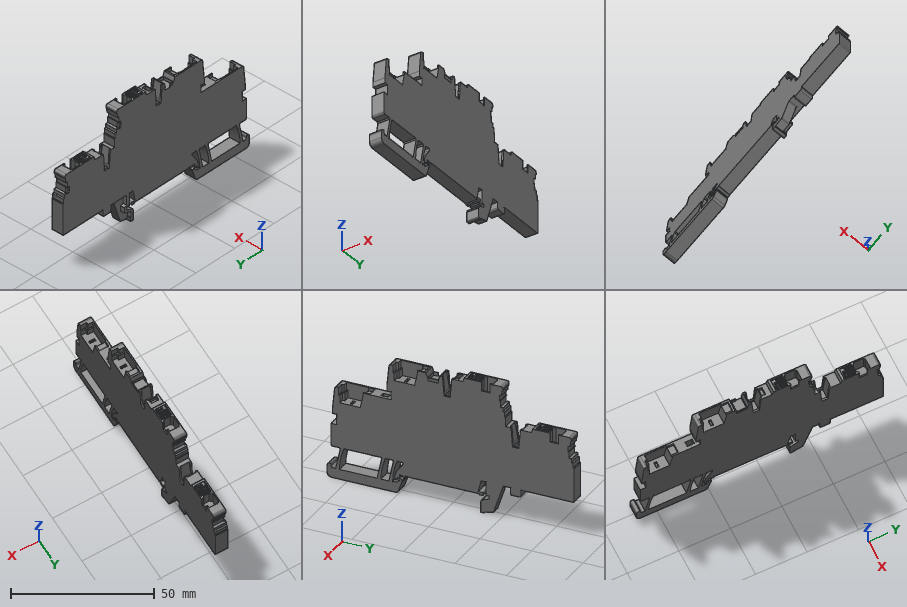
import cadquery as cq
import math


width = 5.1
length = 95.93
height = 52.0
x_min = -width / 2
x_max = width / 2
cut_over = 1.0

tier_rise = 13.9
tower_shift = 26.6
shelf_shift = 21.1

body_bottom = 12.5
rail_seat = 7.2
shelf_top = 36.4
tower_top = 37.9
bump_top = height - tier_rise
tower_end = 79.9
slot_bottom = 28.9
notch_floor = 48.5
body_end = 1.5

wall = 0.55
foot_top = 3.9


def rounded_outline(points):
    """Closed YZ wire through (y, z) or (y, z, corner radius) points."""
    corners = []
    count = len(points)
    for i, point in enumerate(points):
        here = cq.Vector(point[0], point[1])
        if len(point) == 2:
            corners.append((here, None, here))
            continue
        before = cq.Vector(*points[i - 1][:2])
        after = cq.Vector(*points[(i + 1) % count][:2])
        to_before = (before - here).normalized()
        to_after = (after - here).normalized()
        half_angle = to_before.getAngle(to_after) / 2
        setback = point[2] / math.tan(half_angle)
        bisector = (to_before + to_after).normalized()
        middle = here + bisector * (point[2] / math.sin(half_angle) - point[2])
        corners.append((here + to_before * setback, middle, here + to_after * setback))
    path = cq.Workplane("YZ").moveTo(*corners[0][2].toTuple()[:2])
    for start, middle, end in corners[1:] + corners[:1]:
        path = path.lineTo(*start.toTuple()[:2])
        if middle is not None:
            path = path.threePointArc(middle.toTuple()[:2], end.toTuple()[:2])
    return path.wire()


def plate(points, x_from=x_min, x_to=x_max):
    """Extrude a YZ outline between two X positions."""
    return rounded_outline(points).extrude(x_to - x_from).translate((x_from, 0, 0))


def box(x_from, x_to, y_from, y_to, z_from, z_to):
    size = (x_to - x_from, y_to - y_from, z_to - z_from)
    return cq.Workplane("XY").box(*size, centered=False).translate((x_from, y_from, z_from))


def shifted(points, dy, dz):
    return [(p[0] + dy, p[1] + dz) + tuple(p[2:]) for p in points]


TOWER = [
    (length, 26.0),
    (95.6, 26.2),
    (95.6, 28.0),
    (95.0, 28.2),
    (94.95, 29.6),
    (93.95, 29.8),
    (93.9, 32.1),
    (93.6, 32.1),
    (93.6, 34.2),
    (94.35, 34.4),
    (94.55, 36.2),
    (94.85, 36.4),
    (94.85, tower_top, 0.85),
    (tower_end, tower_top),
    (79.3, shelf_top),
    (75.0, shelf_top, 0.35),
    (74.4, slot_bottom, 0.3),
    (72.0, slot_bottom, 0.3),
    (71.45, shelf_top, 0.35),
]

NOSE = [
    (3.0, shelf_top, 0.95),
    (2.1, 27.6),
    (2.1, 25.5),
    (3.7, 25.5),
]

UNDERSIDE = [
    (body_end, 21.4),
    (body_end, body_bottom, 0.7),
    (29.9, body_bottom, 0.4),
    (26.9, 8.4),
    (26.4, 7.0),
    (26.4, 5.0),
    (27.0, 5.0),
    (27.3, 5.9),
    (28.1, 5.9),
    (28.1, rail_seat),
    (29.2, rail_seat),
    (29.2, 6.8),
    (30.3, 6.8),
    (30.3, rail_seat),
    (58.9, rail_seat),
    (59.2, 6.8),
    (60.7, 6.8, 0.5),
    (60.7, 8.0, 0.4),
    (58.7, 8.0),
    (59.8, body_bottom, 0.5),
    (71.2, body_bottom),
    (71.2, 9.6, 0.6),
    (75.3, 9.6, 0.6),
    (75.3, body_bottom),
    (length, body_bottom, 0.4),
]


def make_housing():
    upper_tower = shifted(TOWER, -tower_shift, tier_rise)
    upper_shelf = shelf_top + tier_rise
    marker_notch = [
        (43.75, upper_shelf),
        (43.15, notch_floor),
        (39.0, notch_floor),
        (38.3, upper_shelf),
    ]
    upper_nose = shifted(NOSE, shelf_shift, tier_rise)
    tower_foot = [(length - tower_shift, shelf_top)]
    shelf_root = [(upper_nose[-1][0], shelf_top)]
    lower_step = [(NOSE[-1][0], UNDERSIDE[0][1])]
    outline = TOWER + tower_foot + upper_tower + marker_notch + upper_nose
    outline += shelf_root + NOSE + lower_step + UNDERSIDE
    return plate(outline)


def make_clip():
    """Snap clip: a full-width spring rim backed by a web set in from the -X face."""
    web_inset = 1.7
    rim_joint = [
        (61.2, 0.4),
        (61.2, 1.6),
        (60.85, 1.6),
        (60.85, 4.2, 0.3),
        (64.3, 5.4),
        (64.3, 7.7),
        (63.1, 8.2),
        (63.1, body_bottom, 0.9),
        (64.5, body_bottom),
    ]
    rim_face = [
        (64.5, body_bottom + cut_over),
        (61.7, body_bottom + cut_over),
        (61.7, 7.2),
        (62.85, 7.1),
        (62.85, 6.0),
        (59.9, 4.9, 0.3),
        (59.6, 4.0),
        (59.6, 0.0, 0.4),
        (61.0, 0.0),
    ]
    web_back = [
        (69.4, body_bottom),
        (68.45, body_bottom, 0.3),
        (64.6, 1.1, 0.3),
    ]
    rim = plate(rim_joint + rim_face)
    web = plate(rim_joint + web_back, x_from=x_min + web_inset)
    return rim.union(web)


def make_foot():
    hooks = [
        (0.0, 0.0, 1.8),
        (0.0, 5.5, 1.1),
        (1.65, 5.5, 0.4),
        (1.65, foot_top, 0.65),
        (25.5, foot_top),
        (25.5, 4.4),
        (26.4, 4.15),
        (27.1, 4.15),
        (27.9, 4.9),
        (27.9, 6.2),
        (28.2, 6.1),
        (29.15, 5.4),
        (29.15, 4.8),
        (27.4, 0.0, 1.0),
    ]
    return plate(hooks)


def make_rib(shift):
    """Curved spring rib from the housing to the foot, tapering downwards."""
    embed = 0.2
    root = body_bottom + embed
    overlap = foot_top - embed
    neck = 12.0
    path = cq.Workplane("YZ").moveTo(6.9 + shift, root)
    path = path.lineTo(6.35 + shift, neck)
    path = path.threePointArc((5.15 + shift, 7.5), (4.8 + shift, overlap))
    path = path.lineTo(3.3 + shift, overlap)
    path = path.lineTo(5.1 + shift, neck)
    path = path.lineTo(4.6 + shift, root)
    return path.close().extrude(width).translate((x_min, 0, 0))


def lever_pocket(dy, dz):
    """Lever well with a blunted front end; its front part is open towards +X."""
    depth = 6.0
    half = 2.05
    well_back = 90.9
    well_front = 85.7
    back_bevel_x = 0.6
    back_bevel_y = 0.5
    front_half = 1.1
    shoulder = well_front + 0.9
    well = (
        cq.Workplane("XY")
        .moveTo(-half, well_back - back_bevel_y)
        .lineTo(-half + back_bevel_x, well_back)
        .lineTo(half, well_back)
        .lineTo(half, shoulder)
        .lineTo(front_half, well_front)
        .lineTo(-front_half, well_front)
        .lineTo(-half, shoulder)
        .close()
        .extrude(depth + cut_over)
        .translate((0, 0, tower_top - depth))
    )
    window_depth = 3.5
    window_back = 89.8
    window = box(
        half, x_max + cut_over, shoulder, window_back,
        tower_top - window_depth, tower_top + cut_over,
    )
    return well.union(window).translate((0, dy, dz))


MARKER_FRONT = 80.9
MARKER_BACK = 85.5
MARKER_HALF = 2.0
MARKER_FLOOR = tower_top - 0.8


def marker_recess(dy, dz):
    recess = box(
        -MARKER_HALF, MARKER_HALF, MARKER_FRONT, MARKER_BACK,
        MARKER_FLOOR, tower_top + cut_over,
    )
    return recess.translate((0, dy, dz))


def marker_insert(dy, dz):
    """Raised plate with three small windows, and lower cross bars behind it."""
    plate_front = MARKER_FRONT
    plate_back = 82.6
    plate_half = 1.7
    window = 0.5
    window_centers = (-0.3, 0.5, 1.1)
    bar_fronts = (83.0, 83.8, 84.6)
    bar_depth = 0.45
    bar_top = tower_top - 0.2
    insert = box(-plate_half, plate_half, plate_front, plate_back, MARKER_FLOOR, bump_top)
    window_y = (plate_front + plate_back) / 2 - window / 2
    for window_x in window_centers:
        insert = insert.cut(
            box(window_x - window / 2, window_x + window / 2, window_y, window_y + window,
                MARKER_FLOOR, bump_top)
        )
    for bar_front in bar_fronts:
        bar_back = bar_front + bar_depth
        insert = insert.union(
            box(-MARKER_HALF, MARKER_HALF, bar_front, bar_back, MARKER_FLOOR, bar_top)
        )
    return insert.translate((0, dy, dz))


def test_slot_pocket(dy, dz):
    """Tapered well between the side walls, widening the test slot at the top."""
    floor = slot_bottom - 1.0
    well_left = -1.9
    well_right = 1.8
    well = [
        (75.6, shelf_top + cut_over),
        (75.6, shelf_top),
        (74.5, floor),
        (72.3, floor),
        (70.8, shelf_top),
        (70.8, shelf_top + cut_over),
    ]
    return plate(shifted(well, dy, dz), x_from=well_left, x_to=well_right)


def latch_window(dy, dz):
    """Shallow relief in the -X face behind the tower's back edge."""
    relief_depth = 0.6
    relief = [
        (94.5, 29.9),
        (94.5, 32.1),
        (93.2, 31.8),
        (92.55, 31.8),
        (92.55, 30.1),
        (92.9, 29.3),
        (93.7, 29.3),
    ]
    return plate(shifted(relief, dy, dz), x_from=x_min - cut_over, x_to=x_min + relief_depth)


def wire_entry(dy, dz):
    """Wire funnel open towards +X, with a pad recess behind and a stepped front lip."""
    depth = 6.0
    floor = shelf_top - depth
    funnel_left = x_min + wall
    pad_floor = shelf_top - 1.2
    pad_left = -1.75
    pad_right = 2.0
    pad_front = 13.95
    pad_back = 16.5
    slope_foot = 12.9
    lip_back = 8.0
    lip_floor = shelf_top - depth / 2
    lip_split = 0.0
    lip_left = 5.4
    lip_right = 4.5
    ledge = 0.5
    tool_left = -0.8
    tool_right = 1.4
    tool_front = 8.5
    tool_back = 9.4
    tool_depth = 1.0
    open_top = shelf_top + cut_over
    open_side = x_max + cut_over

    pad = box(pad_left, pad_right, pad_front, pad_back, pad_floor, open_top)
    slope = [
        (pad_front, open_top),
        (pad_front, pad_floor),
        (slope_foot, floor),
        (lip_left + ledge, floor),
        (lip_left + ledge, open_top),
    ]
    funnel = plate(slope, x_from=funnel_left, x_to=open_side)
    upper_left = box(funnel_left, lip_split, lip_left, lip_back, lip_floor, open_top)
    upper_right = box(lip_split, open_side, lip_right, lip_back, lip_floor, open_top)
    lower_right = box(lip_split + ledge, open_side, lip_right + ledge, lip_back, floor, open_top)
    tool_slot = box(
        tool_left, tool_right, tool_front, tool_back, floor - tool_depth, floor + cut_over,
    )
    cut = funnel
    for step in (pad, upper_left, upper_right, lower_right, tool_slot):
        cut = cut.union(step)
    return cut.translate((0, dy, dz))


def bridge_hole():
    """Rectangular socket in the lower shelf."""
    left = -0.45
    right = 1.3
    front = 20.4
    back = 23.1
    depth = 4.0
    return box(left, right, front, back, shelf_top - depth, shelf_top + cut_over)


def upper_tower_hole():
    """Small socket beside the upper test slot."""
    top = shelf_top + tier_rise
    left = -1.6
    right = 1.3
    front = 49.3
    back = 50.7
    depth = 1.5
    return box(left, right, front, back, top - depth, top + cut_over)


def notch_pocket():
    """Pocket sunk under the upper notch, reached through a window in the -X wall."""
    floor = 47.2
    open_top = notch_floor + 0.1
    thin_wall = 0.3
    inner_left = x_min + thin_wall
    inner_right = x_max - thin_wall
    pocket_front = 39.1
    pocket_back = 43.1
    window = [
        (43.1, open_top),
        (43.5, 48.2),
        (43.5, floor + 0.4),
        (43.1, floor),
        (40.8, floor),
        (40.8, open_top),
    ]
    window_cut = plate(window, x_from=x_min - cut_over, x_to=inner_left)
    pocket = box(inner_left, inner_right, pocket_front, pocket_back, floor, open_top)
    return pocket.union(window_cut)


LOWER = (0, 0)
UPPER_TOWER = (-tower_shift, tier_rise)
UPPER_SHELF = (shelf_shift, tier_rise)
RIB_SHIFTS = (0, 16.1, 20.65)

result = make_housing().union(make_clip()).union(make_foot())
for rib_shift in RIB_SHIFTS:
    result = result.union(make_rib(rib_shift))

for tower in (LOWER, UPPER_TOWER):
    result = result.cut(lever_pocket(*tower))
    result = result.cut(marker_recess(*tower))
    result = result.union(marker_insert(*tower))
    result = result.cut(test_slot_pocket(*tower))
    result = result.cut(latch_window(*tower))

for shelf in (LOWER, UPPER_SHELF):
    result = result.cut(wire_entry(*shelf))

result = result.cut(bridge_hole()).cut(upper_tower_hole()).cut(notch_pocket())